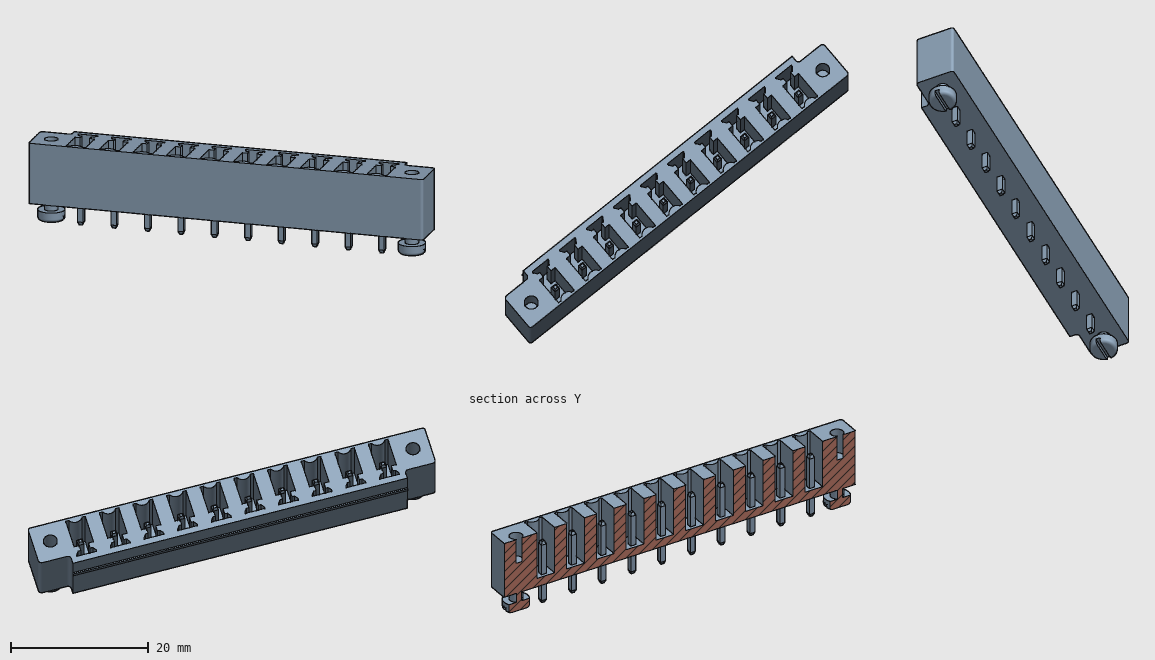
import cadquery as cq
import math


pin_count = 10
pitch = 5.08
length = 59.92
height = 9.2
front_y = -2.9
flange_depth = 6.0
flange_length = 4.7
overall_depth = 7.55
rib_depth = 0.22
body_depth = overall_depth - rib_depth
corner_radius = 0.5
front_corner_radius = 0.4
flange_back_y = front_y + flange_depth
body_back_y = front_y + body_depth
body_length = length - 2 * flange_length

rib_height = 0.55
rib_drop = 3.15
rib_centre_z = height - rib_drop

pocket_floor_z = 1.5
pocket_width = 2.95
front_wall = 0.38
pocket_front_y = front_y + front_wall
shoulder_y = 1.85
neck_width = 1.42
head_front_y = 2.72
head_front_width = 2.2
head_side_y = 3.25
head_back_y = 3.48
bump_width = 2.0
bump_height = 0.58

pin_width = 0.85
pin_tip_width = 0.45
pin_tip_length = 0.5
pin_bottom_z = -3.4
pin_top_z = 7.0

screw_end_distance = 2.58
screw_x = length / 2 - screw_end_distance
bore_diameter = 2.0
bore_depth = 4.0
shank_diameter = 2.0
head_diameter = 4.0
head_top_z = -1.45
head_bottom_z = -3.0
head_edge_radius = 0.5
slot_width = 0.65
slot_depth = 0.75


def make_housing():
    """Long block with shallower end flanges, rounded corners and a back rib."""
    flanges = (
        cq.Workplane("XY")
        .box(length, flange_depth, height, centered=(True, False, False))
        .translate((0, front_y, 0))
        .edges("|Z and <Y")
        .fillet(front_corner_radius)
        .edges("|Z and >Y")
        .fillet(corner_radius)
    )
    body = (
        cq.Workplane("XY")
        .box(body_length, body_depth, height, centered=(True, False, False))
        .translate((0, front_y, 0))
    )
    inner_corners = cq.selectors.BoxSelector(
        (-body_length, flange_back_y - rib_depth, 0),
        (body_length, flange_back_y + rib_depth, height),
    )
    housing = flanges.union(body).edges("|Z").edges(inner_corners).fillet(corner_radius)
    rib = (
        cq.Workplane("XY")
        .box(body_length, rib_depth, rib_height, centered=(True, False, True))
        .translate((0, body_back_y, rib_centre_z))
    )
    return housing.union(rib)


def make_pocket():
    """Keyhole-shaped pocket: wide chamber, narrow neck and a flared head."""
    half = pocket_width / 2
    bump_end = (bump_width / 2, pocket_front_y)
    return (
        cq.Workplane("XY", origin=(0, 0, pocket_floor_z))
        .moveTo(-bump_width / 2, pocket_front_y)
        .threePointArc((0, pocket_front_y + bump_height), bump_end)
        .lineTo(half, pocket_front_y)
        .lineTo(half, shoulder_y)
        .lineTo(neck_width / 2, shoulder_y)
        .lineTo(neck_width / 2, head_front_y)
        .lineTo(head_front_width / 2, head_front_y)
        .lineTo(half, head_side_y)
        .lineTo(half, head_back_y)
        .lineTo(-half, head_back_y)
        .lineTo(-half, head_side_y)
        .lineTo(-head_front_width / 2, head_front_y)
        .lineTo(-neck_width / 2, head_front_y)
        .lineTo(-neck_width / 2, shoulder_y)
        .lineTo(-half, shoulder_y)
        .lineTo(-half, pocket_front_y)
        .close()
        .extrude(height - pocket_floor_z)
    )


def make_pin():
    """Square pin with tapered tips at both ends."""
    taper_angle = math.degrees(math.atan((pin_width - pin_tip_width) / 2 / pin_tip_length))
    return (
        cq.Workplane("XY", origin=(0, 0, pin_bottom_z + pin_tip_length))
        .rect(pin_width, pin_width)
        .extrude(pin_top_z - pin_bottom_z - 2 * pin_tip_length)
        .faces(">Z")
        .workplane()
        .rect(pin_width, pin_width)
        .extrude(pin_tip_length, taper=taper_angle)
        .faces("<Z")
        .workplane()
        .rect(pin_width, pin_width)
        .extrude(pin_tip_length, taper=taper_angle)
    )


def make_screw():
    """Slotted screw hanging below a flange."""
    shank = (
        cq.Workplane("XY", origin=(0, 0, head_top_z))
        .circle(shank_diameter / 2)
        .extrude(-head_top_z)
    )
    head = (
        cq.Workplane("XY", origin=(0, 0, head_bottom_z))
        .circle(head_diameter / 2)
        .extrude(head_top_z - head_bottom_z)
        .faces("<Z")
        .edges()
        .fillet(head_edge_radius)
    )
    slot = (
        cq.Workplane("XY", origin=(0, 0, head_bottom_z))
        .rect(head_diameter, slot_width)
        .extrude(slot_depth)
    )
    return shank.union(head).cut(slot)


def make_bore():
    """Blind bore in the top of a flange."""
    return (
        cq.Workplane("XY", origin=(0, 0, height - bore_depth))
        .circle(bore_diameter / 2)
        .extrude(bore_depth)
    )


result = make_housing()

for index in range(pin_count):
    pin_x = (index - (pin_count - 1) / 2) * pitch
    result = result.cut(make_pocket().translate((pin_x, 0, 0)))
    result = result.union(make_pin().translate((pin_x, 0, 0)))

for x in (-screw_x, screw_x):
    result = result.cut(make_bore().translate((x, 0, 0)))
    result = result.union(make_screw().translate((x, 0, 0)))